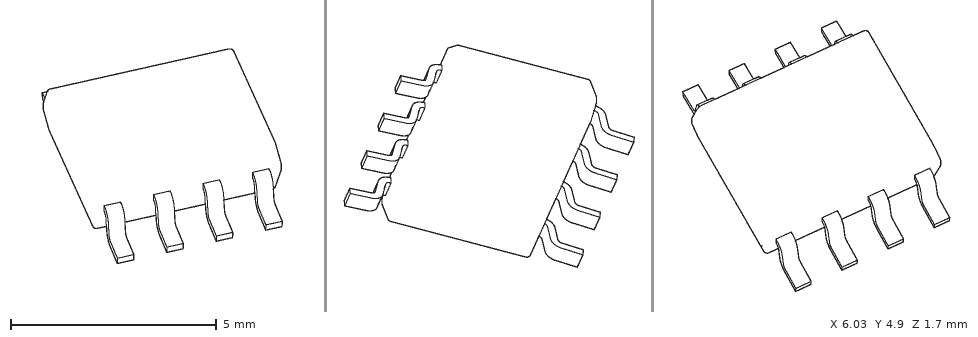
import cadquery as cq
import math

housing_length_x = 3.9
housing_length_y = 4.9
total_height = 1.7
standoff = 0.095
draft_angle = 10.0
edge_radius = 0.1
bevel_inset = 0.325
bevel_angle = 45.0

lead_thickness = 0.2
lead_width = 0.42
lead_pitch = 1.265
leads_per_side = 4
lead_span = 6.03
inner_bend_radius = 0.1
leg_lean = 10.0
foot_slope = 4.1
foot_length = 0.565

half_x = housing_length_x / 2
outer_bend_radius = inner_bend_radius + lead_thickness
waist_bottom = (standoff + total_height - lead_thickness) / 2
waist_top = waist_bottom + lead_thickness
drafted_height = total_height - waist_top


def polar_point(center, radius, angle):
    """Point at the given radius and angle in degrees from a centre (x, z)."""
    turn = math.radians(angle)
    return (center[0] + radius * math.cos(turn), center[1] + radius * math.sin(turn))


def housing_block():
    """Rectangular waist band with a tapered half above and below."""
    def waist_outline(height):
        return cq.Workplane("XY", origin=(0, 0, height)).rect(housing_length_x, housing_length_y)

    band = waist_outline(waist_bottom).extrude(lead_thickness)
    upper = waist_outline(waist_top).extrude(drafted_height, taper=draft_angle)
    lower = waist_outline(waist_bottom).extrude(-drafted_height, taper=draft_angle)
    return band.union(upper).union(lower)


def bevel_cutter():
    """Wedge that removes the upper -X edge along the whole housing."""
    bevel_drop = bevel_inset * math.tan(math.radians(bevel_angle))
    return (
        cq.Workplane("XZ")
        .moveTo(-half_x + bevel_inset, total_height)
        .lineTo(-half_x, total_height)
        .lineTo(-half_x, total_height - bevel_drop)
        .close()
        .extrude(housing_length_y / 2, both=True)
    )


def make_housing():
    """Bevelled housing with every edge rounded except the two waist lines."""
    block = housing_block().cut(bevel_cutter())
    waist_region = cq.selectors.BoxSelector(
        (-housing_length_x, -housing_length_y, waist_bottom - edge_radius),
        (housing_length_x, housing_length_y, waist_top + edge_radius),
    )
    waist_lines = block.edges("#Z").edges(waist_region)
    rounded_edges = block.edges().filter(
        lambda edge: not any(edge.isSame(line) for line in waist_lines.vals())
    )
    return rounded_edges.fillet(edge_radius)


def lead_outline():
    """Gull-wing side profile of a -X lead, from the housing face out to the tip."""
    slope = math.radians(foot_slope)
    lean = math.radians(leg_lean)

    tip_top = (-lead_span / 2, lead_thickness * math.cos(slope))
    tip_bottom = (tip_top[0] + lead_thickness * math.sin(slope), 0)
    foot_top_end = polar_point(tip_top, foot_length, foot_slope)
    foot_bend = polar_point(foot_top_end, inner_bend_radius, 90 + foot_slope)

    shoulder_z = waist_bottom - inner_bend_radius
    bend_rise = shoulder_z - foot_bend[1]
    bend_gap = outer_bend_radius + inner_bend_radius
    shoulder_bend = (foot_bend[0] + (bend_gap + bend_rise * math.sin(lean)) / math.cos(lean), shoulder_z)

    shoulder_angles = (90, 135 - leg_lean / 2, 180 - leg_lean)
    foot_angles = (-leg_lean, (foot_slope - leg_lean - 90) / 2, foot_slope - 90)
    outer_shoulder = [polar_point(shoulder_bend, outer_bend_radius, angle) for angle in shoulder_angles]
    inner_shoulder = [polar_point(shoulder_bend, inner_bend_radius, angle) for angle in shoulder_angles]
    inner_foot = [polar_point(foot_bend, inner_bend_radius, angle) for angle in foot_angles]
    outer_foot = [polar_point(foot_bend, outer_bend_radius, angle) for angle in foot_angles]

    return (
        cq.Workplane("XZ")
        .moveTo(-half_x, waist_top)
        .lineTo(*outer_shoulder[0])
        .threePointArc(*outer_shoulder[1:])
        .lineTo(*inner_foot[0])
        .threePointArc(*inner_foot[1:])
        .lineTo(*tip_top)
        .lineTo(*tip_bottom)
        .lineTo(*outer_foot[2])
        .threePointArc(outer_foot[1], outer_foot[0])
        .lineTo(*inner_shoulder[2])
        .threePointArc(inner_shoulder[1], inner_shoulder[0])
        .lineTo(-half_x, waist_bottom)
        .close()
    )


def make_lead(row_y, side_angle):
    """One lead centred on row_y, turned about Z onto the -X (0) or +X (180) side."""
    lead = lead_outline().extrude(lead_width / 2, both=True)
    return lead.rotate((0, 0, 0), (0, 0, 1), side_angle).translate((0, row_y, 0))


housing = make_housing()

first_row_y = -lead_pitch * (leads_per_side - 1) / 2
leads = []
for side_angle in (0, 180):
    for row in range(leads_per_side):
        leads.append(make_lead(first_row_y + row * lead_pitch, side_angle).val())

result = cq.Compound.makeCompound([housing.val(), *leads])